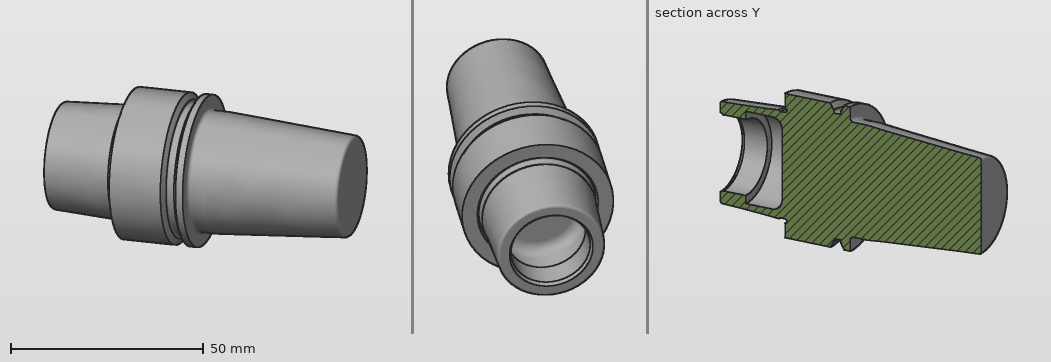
import cadquery as cq
import math

total_length = 79.9

shank_end_radius = 14.15
shank_large_radius = 15.1
shank_taper_end = 17.9
shank_end_round = 0.8

relief_start = 18.5
relief_radius = 14.8
undercut_round = 0.7
undercut_depth = 0.55
undercut_mouth_radius = 16.0

flange_radius = 40.0 / 2
flange_start = 19.8
flange_end = 39.8

groove_start = 33.7
groove_end = 37.9
groove_floor_radius = 17.4
groove_flare_depth = 1.75
groove_flare_angle = 30.0
groove_floor_round = 0.2

collar_radius = 16.0
collar_root_round = 0.95
collar_end = 44.75
nose_end_radius = 13.35
nose_end_round = 0.9

mouth_radius = 11.0
mouth_depth = 1.0
bore_radius = 10.5
bore_depth = 8.0
chamber_radius = 12.7
chamber_floor_radius = 9.75
chamber_depth = 18.85


def revolve_about_x(outline):
    """Spin a closed half-section, drawn as X and radius, about the X axis."""
    return outline.close().revolve(360, (0, 0, 0), (1, 0, 0))


def make_outer_body():
    undercut_floor = flange_start + undercut_depth
    undercut_arc_top = relief_radius + undercut_round
    flare_width = groove_flare_depth * math.tan(math.radians(groove_flare_angle))
    near_wall = groove_start + flare_width
    far_wall = groove_end - flare_width
    wall_top_radius = flange_radius - groove_flare_depth
    wall_foot_radius = groove_floor_radius + groove_floor_round

    outline = (
        cq.Workplane("XY")
        .lineTo(0, shank_end_radius)
        .lineTo(shank_taper_end, shank_large_radius)
        .lineTo(relief_start, relief_radius)
        .lineTo(undercut_floor - undercut_round, relief_radius)
        .radiusArc((undercut_floor, undercut_arc_top), -undercut_round)
        .lineTo(flange_start, undercut_mouth_radius)
        .lineTo(flange_start, flange_radius)
        .lineTo(groove_start, flange_radius)
        .lineTo(near_wall, wall_top_radius)
        .lineTo(near_wall, wall_foot_radius)
        .radiusArc((near_wall + groove_floor_round, groove_floor_radius), -groove_floor_round)
        .lineTo(far_wall - groove_floor_round, groove_floor_radius)
        .radiusArc((far_wall, wall_foot_radius), -groove_floor_round)
        .lineTo(far_wall, wall_top_radius)
        .lineTo(groove_end, flange_radius)
        .lineTo(flange_end, flange_radius)
        .lineTo(flange_end, collar_radius + collar_root_round)
        .radiusArc((flange_end + collar_root_round, collar_radius), -collar_root_round)
        .lineTo(collar_end, collar_radius)
        .lineTo(total_length, nose_end_radius)
        .lineTo(total_length, 0)
    )
    body = revolve_about_x(outline)
    body = body.faces("<X").edges().fillet(shank_end_round)
    return body.faces(">X").edges().fillet(nose_end_round)


def make_clamping_bore():
    floor_round = chamber_radius - chamber_floor_radius
    outline = (
        cq.Workplane("XY")
        .lineTo(0, mouth_radius)
        .lineTo(mouth_depth, bore_radius)
        .lineTo(bore_depth, bore_radius)
        .lineTo(bore_depth, chamber_radius)
        .lineTo(chamber_depth - floor_round, chamber_radius)
        .radiusArc((chamber_depth, chamber_floor_radius), floor_round)
        .lineTo(chamber_depth, 0)
    )
    return revolve_about_x(outline)


result = make_outer_body().cut(make_clamping_bore())